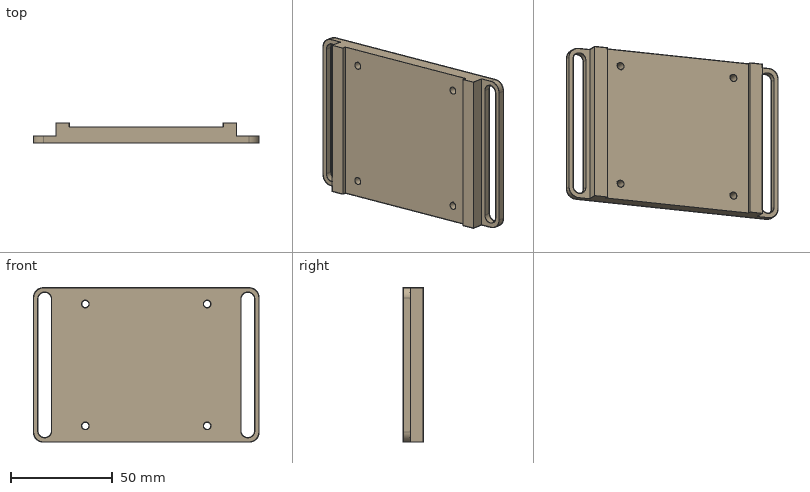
import cadquery as cq

plate_length = 111.0
plate_height = 76.0
plate_thickness = 3.5
corner_radius = 5.0

total_depth = 10.0
block_length = 89.0
rail_width = 6.7
channel_depth = 2.0

slot_width = 6.7
slot_length = 71.5
slot_offset = 50.0

hole_diameter = 3.5
hole_spacing = 59.9


def slab(length, height, y_start, y_end):
    """Box centred on X and Z, spanning y_start to y_end."""
    depth = y_end - y_start
    return cq.Workplane("XY").box(length, depth, height).translate((0, y_start + depth / 2, 0))


def make_plate():
    plate = slab(plate_length, plate_height, 0, plate_thickness)
    return plate.edges("|Y").fillet(corner_radius)


def make_block():
    block = slab(block_length, plate_height, 0, total_depth)
    channel_width = block_length - 2 * rail_width
    channel = slab(channel_width, plate_height, total_depth - channel_depth, total_depth)
    return block.cut(channel)


def make_slots():
    return (
        cq.Workplane("XZ")
        .pushPoints([(-slot_offset, 0), (slot_offset, 0)])
        .slot2D(slot_length, slot_width, 90)
        .extrude(-plate_thickness)
    )


def make_holes():
    return (
        cq.Workplane("XZ")
        .rect(hole_spacing, hole_spacing, forConstruction=True)
        .vertices()
        .circle(hole_diameter / 2)
        .extrude(-total_depth)
    )


result = make_plate().union(make_block()).cut(make_slots()).cut(make_holes())